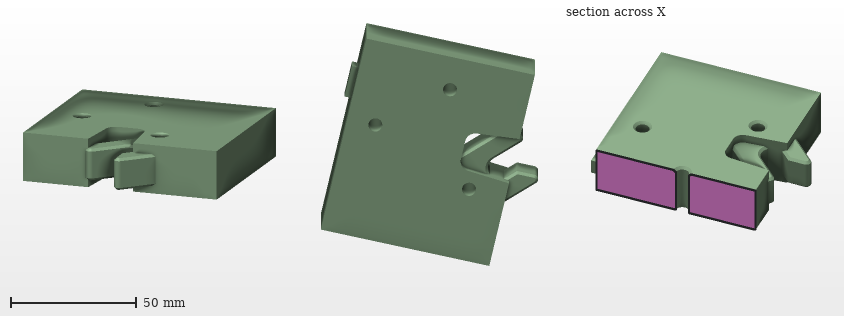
import cadquery as cq
import math

block_width = 82.0
block_depth = 68.8
block_height = 20.0

tab_width = 13.1
tab_height = 6.1
tab_length = 2.6
tab_left = 14.7

hole_diameter = 5.5
countersink_diameter = 7.6
countersink_angle = 90
hole_centers = [(34.5, 57.3), (13.5, 31.6), (52.5, 15.0)]

slot_center_x = 37.0
slot_mouth_width = 19
slot_depth = 20.9
slot_taper = 5
slot_corner_radius = 4.1

latch_bottom = 3.15
latch_height = 13.1
latch_half_width = 13.0
latch_chamfer = 1.0
latch_angle = 45
latch_embedded_length = 16.5
notch_center = (42.4, 4.7)
notch_radius = 4.7
left_prong_length = 14.7
right_prong_side_x = 42.1
left_tip_radius = 1.7
right_tip_radius = 1.9


def make_block():
    block = cq.Workplane("XY").box(block_width, block_depth, block_height, centered=False)
    tab_bottom = (block_height - tab_height) / 2
    tab = (
        cq.Workplane("XY")
        .box(tab_width, tab_length, tab_height, centered=False)
        .translate((tab_left, block_depth, tab_bottom))
    )
    return block.union(tab)


def make_slot():
    mouth_half = slot_mouth_width / 2
    end_half = mouth_half - slot_depth * math.tan(math.radians(slot_taper))
    return (
        cq.Workplane("XY")
        .moveTo(slot_center_x - mouth_half, 0)
        .lineTo(slot_center_x + mouth_half, 0)
        .lineTo(slot_center_x + end_half, slot_depth)
        .lineTo(slot_center_x - end_half, slot_depth)
        .close()
        .extrude(block_height)
        .edges("|Z and >Y")
        .fillet(slot_corner_radius)
    )


def latch_point(along, across):
    """Point measured from the notch center: along the latch to the back right, across to the left."""
    cosine = math.cos(math.radians(latch_angle))
    sine = math.sin(math.radians(latch_angle))
    x = notch_center[0] + along * cosine - across * sine
    y = notch_center[1] + along * sine + across * cosine
    return x, y


def right_prong_point(across):
    """Point where a long edge of the latch meets the side of the right prong."""
    cosine = math.cos(math.radians(latch_angle))
    sine = math.sin(math.radians(latch_angle))
    along = (right_prong_side_x - notch_center[0] + across * sine) / cosine
    return latch_point(along, across)


def make_latch():
    left_tip = latch_point(-left_prong_length, notch_radius)
    right_tip = right_prong_point(-latch_half_width)
    latch = (
        cq.Workplane("XY", origin=(0, 0, latch_bottom))
        .moveTo(*latch_point(latch_embedded_length, latch_half_width))
        .lineTo(*latch_point(-left_prong_length, latch_half_width))
        .lineTo(*left_tip)
        .lineTo(*latch_point(0, notch_radius))
        .threePointArc(latch_point(notch_radius, 0), latch_point(0, -notch_radius))
        .lineTo(*right_prong_point(-notch_radius))
        .lineTo(*right_tip)
        .lineTo(*latch_point(latch_embedded_length, -latch_half_width))
        .close()
        .extrude(latch_height)
    )
    for tip, radius in ((left_tip, left_tip_radius), (right_tip, right_tip_radius)):
        middle = (*tip, latch_bottom + latch_height / 2)
        latch = latch.edges(cq.selectors.NearestToPointSelector(middle)).fillet(radius)
    return latch.faces("<Z or >Z").edges().chamfer(latch_chamfer)


body = make_block().cut(make_slot()).union(make_latch())
result = (
    body.faces(">Z")
    .workplane(origin=(0, 0, block_height))
    .pushPoints(hole_centers)
    .cskHole(hole_diameter, countersink_diameter, countersink_angle)
)